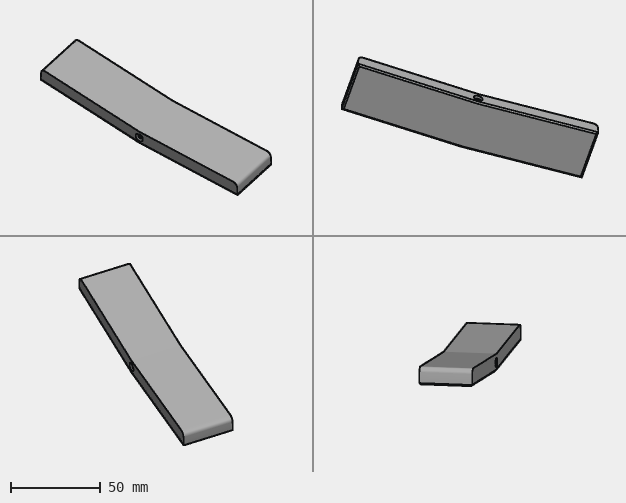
import cadquery as cq
import math

length = 140.4
width = 30.0
thickness = 10.0
arm_angle = math.radians(3.5)
end_radius = 3.0
valley_radius = 10.0
ridge_radius = 20.0
bottom_chamfer = 1.0
hole_diameter = 3.0
countersink_diameter = 5.0
countersink_angle = 90.0

rise = math.sin(arm_angle)
run = math.cos(arm_angle)
valley_height = thickness / run
hole_height = valley_height / 2

end_face_radius = length / 2
half_thickness = thickness / 2
hole_along = half_thickness * rise / run
arm_length = hole_along + math.sqrt(end_face_radius**2 - half_thickness**2)
arm_middle_length = hole_along + end_face_radius


def arm_point(along, above):
    """Point on the right arm, measured along and square to its underside."""
    return (along * run - above * rise, along * rise + above * run)


def mirrored(point):
    return (-point[0], point[1])


def make_body():
    """Shallow V bar with its underside ridge at the origin."""
    end_bottom = arm_point(arm_length, 0)
    end_top = arm_point(arm_length, thickness)
    end_middle = arm_point(arm_middle_length, half_thickness)
    return (
        cq.Workplane("XZ")
        .moveTo(0, 0)
        .lineTo(*end_bottom)
        .threePointArc(end_middle, end_top)
        .lineTo(0, valley_height)
        .lineTo(*mirrored(end_top))
        .threePointArc(mirrored(end_middle), mirrored(end_bottom))
        .close()
        .extrude(width / 2, both=True)
    )


def round_edges(body):
    """Round the two upper end edges and soften the valley and the ridge."""
    body = body.edges("|Y").edges(">Z").fillet(end_radius)
    valley = cq.selectors.NearestToPointSelector((0, 0, valley_height))
    body = body.edges("|Y").edges(valley).fillet(valley_radius)
    ridge = cq.selectors.NearestToPointSelector((0, 0, 0))
    return body.edges("|Y").edges(ridge).fillet(ridge_radius)


def chamfer_underside(body):
    """Chamfer the border of the underside along its sides and ends."""
    lower_corner = (-length, -width, -thickness)
    upper_corner = (length, width, half_thickness / 2)
    underside = body.faces(cq.selectors.BoxSelector(lower_corner, upper_corner))
    side_edges = underside.edges("not(|Y)")
    end_edges = underside.edges("|Y").edges("<X or >X")
    return side_edges.add(end_edges).chamfer(bottom_chamfer)


def make_cross_hole():
    """Through hole across the ridge, countersunk at both sides."""
    hole = (
        cq.Workplane("XZ")
        .center(0, hole_height)
        .circle(hole_diameter / 2)
        .extrude(width / 2, both=True)
    )
    cone_radius = countersink_diameter / 2
    cone_depth = cone_radius / math.tan(math.radians(countersink_angle / 2))
    for side in (-1, 1):
        cone = cq.Solid.makeCone(
            cone_radius,
            0,
            cone_depth,
            cq.Vector(0, side * width / 2, hole_height),
            cq.Vector(0, -side, 0),
        )
        hole = hole.union(cq.Workplane(cone))
    return hole


body = chamfer_underside(round_edges(make_body()))
result = body.cut(make_cross_hole())